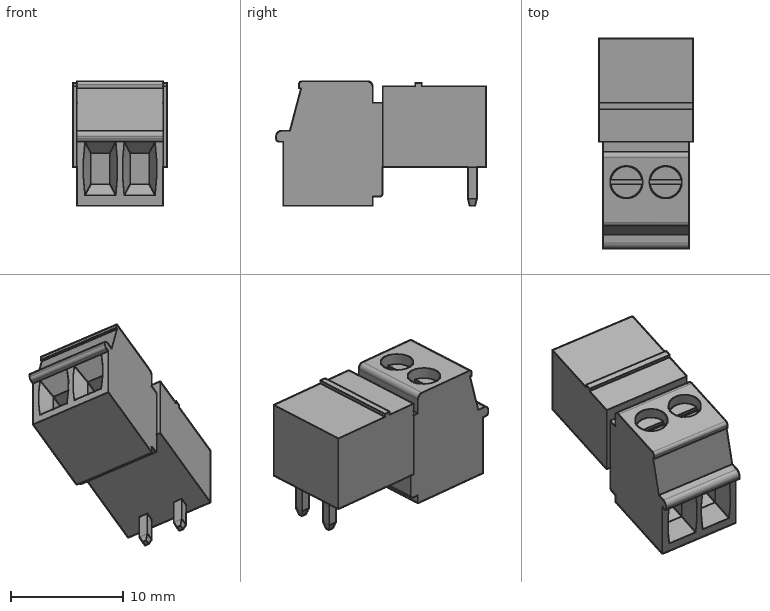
import cadquery as cq

overlap = 0.19

pole_pitch = 3.5
pole_count = 2
pole_positions = [(i - (pole_count - 1) / 2) * pole_pitch for i in range(pole_count)]

header_width = 8.4
header_front = 9.5
header_rear = 18.7
header_bottom = 3.45
header_top = 10.65
rib_front = 12.4
rib_width = 0.6
rib_height = 0.3

pin_size = 0.82
pin_tip_width = 0.37
pin_tip_length = 0.49
pin_tip_height = 0.65
pin_center_y = 17.48

plug_width = 7.69
plug_top = 11.1
plug_front = 0.64
plug_rear = 8.62
lug_bottom = 0.82
lug_top = 9.2
large_radius = 0.5
small_radius = 0.3
lip_front = 2.04
lip_bottom = 10.47
lip_depth = 0.19
slope_foot_y = 1.23
bar_bottom = 5.7
bar_top = 6.7

screw_hole_diameter = 2.9
screw_diameter = 2.8
screw_center_y = 5.9
screw_recess = 1.01
screw_slot_width = 0.41
screw_slot_depth = 0.3

entry_bottom = 0.94
entry_top = bar_bottom
entry_width = 2.75
entry_side_bulge = 0.15
entry_funnel_depth = 1.5
wire_hole_width = 1.68
wire_hole_height = 2.77
wire_hole_depth = 1.5


def make_header():
    """Plain rectangular housing with a raised rib across its top."""
    housing = cq.Workplane("XY").box(
        header_width,
        header_rear - header_front,
        header_top - header_bottom,
        centered=(True, False, False),
    ).translate((0, header_front, header_bottom))
    rib = cq.Workplane("XY").box(
        header_width, rib_width, rib_height + overlap, centered=(True, False, False)
    ).translate((0, rib_front, header_top - overlap))
    return housing.union(rib)


def make_pin(x):
    """Square solder pin with a tapered tip, rooted in the header."""
    shank_length = header_bottom - pin_tip_height + overlap
    shank = (
        cq.Workplane("XY", origin=(x, pin_center_y, pin_tip_height))
        .rect(pin_size, pin_size)
        .extrude(shank_length)
    )
    tip = (
        cq.Workplane("XY", origin=(x, pin_center_y, 0))
        .rect(pin_tip_width, pin_tip_length)
        .workplane(offset=pin_tip_height)
        .rect(pin_size, pin_size)
        .loft(ruled=True)
    )
    return shank.union(tip)


def make_plug_body():
    """Side outline in the YZ plane, extruded across the full plug width."""
    return (
        cq.Workplane("YZ")
        .moveTo(plug_front, 0)
        .lineTo(plug_rear, 0)
        .lineTo(plug_rear, lug_bottom)
        .lineTo(header_front - small_radius, lug_bottom)
        .radiusArc((header_front, lug_bottom + small_radius), -small_radius)
        .lineTo(header_front, lug_top)
        .lineTo(plug_rear, lug_top)
        .lineTo(plug_rear, plug_top - large_radius)
        .radiusArc((plug_rear - large_radius, plug_top), -large_radius)
        .lineTo(lip_front + small_radius, plug_top)
        .radiusArc((lip_front, plug_top - small_radius), -small_radius)
        .lineTo(lip_front, lip_bottom)
        .lineTo(lip_front + lip_depth, lip_bottom)
        .lineTo(slope_foot_y, bar_top)
        .lineTo(large_radius, bar_top)
        .radiusArc((0, bar_top - large_radius), -large_radius)
        .lineTo(0, bar_bottom + small_radius)
        .radiusArc((small_radius, bar_bottom), -small_radius)
        .lineTo(plug_front, bar_bottom)
        .close()
        .extrude(plug_width / 2, both=True)
    )


def make_screw_recess(x):
    """Round recess around a slotted screw head; its floor is level with the slot floor."""
    slot_floor = plug_top - screw_recess - screw_slot_depth
    floor_plane = cq.Workplane("XY", origin=(x, screw_center_y, slot_floor))
    hole = floor_plane.circle(screw_hole_diameter / 2).extrude(screw_recess + screw_slot_depth)
    head = floor_plane.circle(screw_diameter / 2).extrude(screw_slot_depth)
    slot = floor_plane.rect(screw_hole_diameter, screw_slot_width).extrude(screw_slot_depth)
    return hole.cut(head.cut(slot))


def make_wire_entry(x):
    """Funnel with bowed sides at its mouth, narrowing to a rectangular wire hole."""
    middle_z = (entry_bottom + entry_top) / 2
    half_height = (entry_top - entry_bottom) / 2
    half_width = entry_width / 2
    half_bulged_width = half_width + entry_side_bulge
    mouth_plane = cq.Workplane("XZ", origin=(x, plug_front, middle_z))
    funnel = (
        mouth_plane
        .moveTo(-half_width, -half_height)
        .lineTo(half_width, -half_height)
        .threePointArc((half_bulged_width, 0), (half_width, half_height))
        .lineTo(-half_width, half_height)
        .threePointArc((-half_bulged_width, 0), (-half_width, -half_height))
        .close()
        .workplane(offset=-entry_funnel_depth)
        .moveTo(-wire_hole_width / 2, -wire_hole_height / 2)
        .lineTo(wire_hole_width / 2, -wire_hole_height / 2)
        .lineTo(wire_hole_width / 2, wire_hole_height / 2)
        .lineTo(-wire_hole_width / 2, wire_hole_height / 2)
        .close()
        .loft(ruled=True)
    )
    wire_hole = (
        mouth_plane
        .workplane(offset=-entry_funnel_depth)
        .rect(wire_hole_width, wire_hole_height)
        .extrude(-wire_hole_depth)
    )
    return funnel.union(wire_hole)


result = make_plug_body().union(make_header())
for pole_x in pole_positions:
    result = result.union(make_pin(pole_x))
    result = result.cut(make_screw_recess(pole_x))
    result = result.cut(make_wire_entry(pole_x))